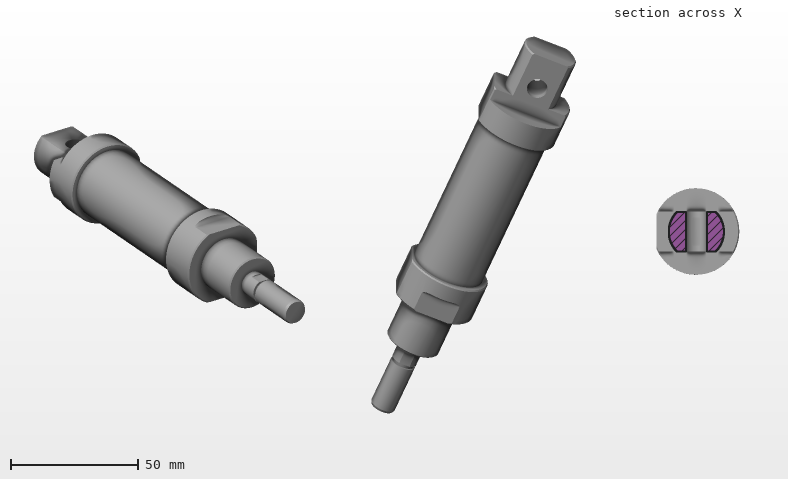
import cadquery as cq

LUG_END = 20.0
REAR_FLATS_END = 25.3
REAR_CAP_END = 36.0
FRONT_CAP_START = 102.1
FRONT_CAP_END = 118.3
NOSE_END = 138.2
ROD_END = 168.5

CAP_RADIUS = 17.0
TUBE_RADIUS = 14.5
MOUNT_RADIUS = 11.0
ROD_RADIUS = 5.0

EDGE_CHAMFER = 0.5
SIDE_FLAT_DISTANCE = 15.5
LUG_THICKNESS = 15.8
PIVOT_HOLE_DIAMETER = 8.1
PIVOT_HOLE_X = 13.5
FRONT_FLAT_DISTANCE = 15.0
FRONT_FLAT_STEP_X = 108.7
FRONT_FLAT_FILLET = 1.5

ROD_FLAT_DISTANCE = 4.5
ROD_FLAT_START = 141.2
GROOVE_START = 146.3
GROOVE_END = 147.6
GROOVE_RADIUS = 4.2
ROD_TIP_LENGTH = 1.0
ROD_TIP_DROP = 0.5

CUT_SIZE = 4 * CAP_RADIUS


def disc(start, end, radius):
    """Round bar along X between two stations."""
    return cq.Workplane("YZ", origin=(start, 0, 0)).circle(radius).extrude(end - start)


def cut_above_and_below(body, start, end, distance):
    """Mill two flats parallel to XY, at +/- distance from the axis."""
    length = end - start
    for side in (1, -1):
        cutter = cq.Workplane("XY").box(length, CUT_SIZE, CUT_SIZE).translate(
            (start + length / 2, 0, side * (distance + CUT_SIZE / 2))
        )
        body = body.cut(cutter)
    return body


def cut_side_flat(body):
    """Mill the flat on the +Y side of an end cap."""
    cutter = cq.Workplane("XY").box(2 * ROD_END, CUT_SIZE, CUT_SIZE).translate(
        (0, SIDE_FLAT_DISTANCE + CUT_SIZE / 2, 0)
    )
    return body.cut(cutter)


def make_rear_cap():
    """Rear cap with a flattened pivot lug."""
    cap = disc(LUG_END, REAR_CAP_END, CAP_RADIUS).edges().chamfer(EDGE_CHAMFER)
    lug = disc(0, LUG_END, MOUNT_RADIUS).faces("<X").chamfer(EDGE_CHAMFER)
    body = cut_side_flat(cap).union(lug)
    body = cut_above_and_below(body, 0, REAR_FLATS_END, LUG_THICKNESS / 2)
    pivot_hole = (
        cq.Workplane("XY", origin=(PIVOT_HOLE_X, 0, -LUG_THICKNESS))
        .circle(PIVOT_HOLE_DIAMETER / 2)
        .extrude(2 * LUG_THICKNESS)
    )
    return body.cut(pivot_hole)


def make_tube():
    """Barrel between the two caps."""
    return disc(REAR_CAP_END, FRONT_CAP_START, TUBE_RADIUS)


def make_front_cap():
    """Front cap with filleted wrench flats and a round nose."""
    cap = disc(FRONT_CAP_START, FRONT_CAP_END, CAP_RADIUS).edges().chamfer(EDGE_CHAMFER)
    cap = cut_side_flat(cap)
    flat_cutter = (
        cq.Workplane("XY")
        .box(FRONT_CAP_END - FRONT_FLAT_STEP_X, CUT_SIZE, CUT_SIZE)
        .translate(((FRONT_CAP_END + FRONT_FLAT_STEP_X) / 2, 0, FRONT_FLAT_DISTANCE + CUT_SIZE / 2))
        .edges("<X and <Z")
        .fillet(FRONT_FLAT_FILLET)
    )
    cap = cap.cut(flat_cutter).cut(flat_cutter.mirror("XY"))
    nose = disc(FRONT_CAP_END, NOSE_END, MOUNT_RADIUS).faces(">X").chamfer(EDGE_CHAMFER)
    return cap.union(nose)


def make_rod():
    """Exposed piston rod with wrench flats, a relief groove and a tapered tip."""
    neck = disc(NOSE_END, GROOVE_START, ROD_RADIUS)
    neck = cut_above_and_below(neck, ROD_FLAT_START, GROOVE_START, ROD_FLAT_DISTANCE)
    groove = disc(GROOVE_START, GROOVE_END, GROOVE_RADIUS)
    thread = (
        disc(GROOVE_END, ROD_END, ROD_RADIUS)
        .faces(">X")
        .chamfer(ROD_TIP_LENGTH, ROD_TIP_DROP)
    )
    return neck.union(groove).union(thread)


rear_cap = make_rear_cap()
tube = make_tube()
front_cap = make_front_cap()
rod = make_rod()

bodies = [rear_cap, tube, front_cap, rod]
result = cq.Compound.makeCompound([body.solids().val() for body in bodies])